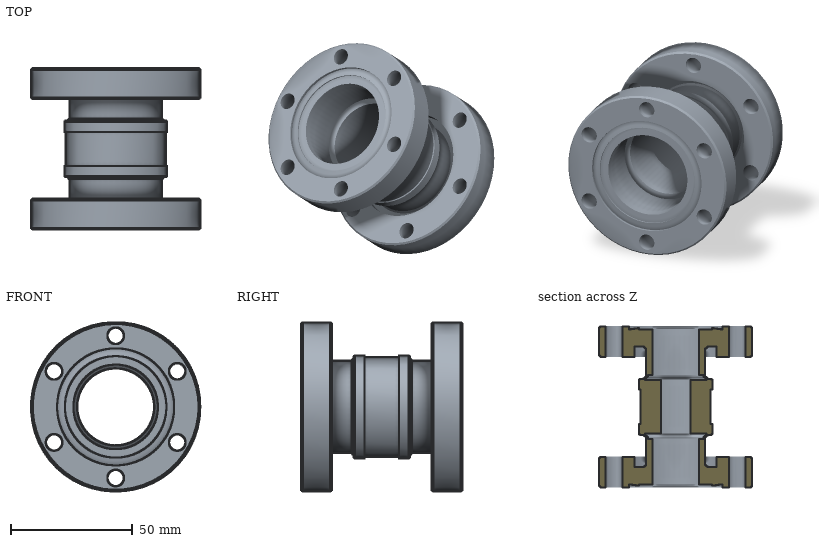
import cadquery as cq

TOTAL_LENGTH = 66.6
HALF_LENGTH = TOTAL_LENGTH / 2

FLANGE_RADIUS = 34.9
FLANGE_THICKNESS = 12.7
FLANGE_CHAMFER = 0.7
FLANGE_BACK = HALF_LENGTH - FLANGE_THICKNESS

BOLT_COUNT = 6
BOLT_CIRCLE_RADIUS = 29.35
BOLT_HOLE_DIAMETER = 6.7
FIRST_HOLE_ANGLE = 90

RECESS_RADIUS = 24.2
RECESS_DEPTH = 1.25
KNIFE_RADIUS = 20.95
KNIFE_SETBACK = 0.6
RECESS_FLOOR = HALF_LENGTH - RECESS_DEPTH

TUBE_RADIUS = 19.15
WALL = 0.55
WELD_WIDTH = 0.7
WELD_LENGTH = 0.85

RELIEF_RADIUS = 22.35
RELIEF_DEPTH = 4.2
RELIEF_FLOOR = FLANGE_BACK + RELIEF_DEPTH

BODY_RADIUS = 20.7
COLLAR_RADIUS = BODY_RADIUS + WALL
COLLAR_START = 7.05
COLLAR_END = 11.65
BODY_END = COLLAR_END - WALL

BODY_BORE_RADIUS = 15.85
FLANGE_BORE_RADIUS = 17.45
FLANGE_BORE_END = 13.1
GAP_RADIUS = TUBE_RADIUS - WALL


def revolve_about_y(profile):
    """Turn a closed (radius, y) profile into a solid of revolution."""
    return cq.Workplane("XY").polyline(profile).close().revolve(360, (0, 0, 0), (0, 1, 0))


def outer_profile():
    """Outside contour of the +Y half, from the middle to the inner flange face."""
    return [
        (BODY_RADIUS, 0),
        (BODY_RADIUS, COLLAR_START),
        (COLLAR_RADIUS, COLLAR_START),
        (COLLAR_RADIUS, BODY_END),
        (COLLAR_RADIUS - WALL, COLLAR_END),
        (TUBE_RADIUS + WELD_WIDTH, COLLAR_END),
        (TUBE_RADIUS, COLLAR_END + WELD_LENGTH),
        (TUBE_RADIUS, RELIEF_FLOOR - WELD_LENGTH),
        (TUBE_RADIUS + WELD_WIDTH, RELIEF_FLOOR),
        (RELIEF_RADIUS, RELIEF_FLOOR),
        (RELIEF_RADIUS, FLANGE_BACK),
    ]


def flange_profile():
    """Chamfered flange rim and the sealing recess in its outer face."""
    return [
        (FLANGE_RADIUS - FLANGE_CHAMFER, FLANGE_BACK),
        (FLANGE_RADIUS, FLANGE_BACK + FLANGE_CHAMFER),
        (FLANGE_RADIUS, HALF_LENGTH - FLANGE_CHAMFER),
        (FLANGE_RADIUS - FLANGE_CHAMFER, HALF_LENGTH),
        (RECESS_RADIUS, HALF_LENGTH),
        (RECESS_RADIUS, RECESS_FLOOR),
        (KNIFE_RADIUS, HALF_LENGTH - KNIFE_SETBACK),
        (KNIFE_RADIUS, RECESS_FLOOR),
    ]


def bore_profile():
    """Inside contour of the +Y half, from the recess floor back to the middle."""
    return [
        (FLANGE_BORE_RADIUS, RECESS_FLOOR),
        (FLANGE_BORE_RADIUS, FLANGE_BORE_END),
        (GAP_RADIUS, FLANGE_BORE_END),
        (GAP_RADIUS, COLLAR_END + WELD_LENGTH),
        (GAP_RADIUS + WELD_WIDTH, COLLAR_END),
        (GAP_RADIUS + WELD_WIDTH, BODY_END),
        (BODY_BORE_RADIUS, BODY_END),
        (BODY_BORE_RADIUS, 0),
    ]


def mirrored(half_contour):
    """Continue a contour that starts at Y = 0 with its reflection, dropping the points at Y = 0."""
    upper = [point for point in half_contour if point[1] > 0]
    return upper + [(radius, -y) for radius, y in reversed(upper)]


def bolt_holes():
    """Ring of cylinders running the whole length of the part."""
    return (
        cq.Workplane("XZ", origin=(0, HALF_LENGTH, 0))
        .polarArray(BOLT_CIRCLE_RADIUS, FIRST_HOLE_ANGLE, 360, BOLT_COUNT)
        .circle(BOLT_HOLE_DIAMETER / 2)
        .extrude(TOTAL_LENGTH)
    )


half_contour = outer_profile() + flange_profile() + bore_profile()
result = revolve_about_y(mirrored(half_contour)).cut(bolt_holes())